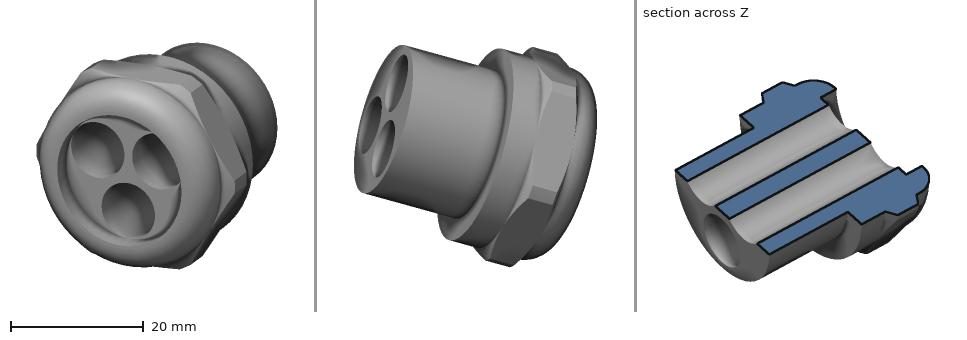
import cadquery as cq
import math

corner_diameter = 33.5
across_flats = 30.0
tail_diameter = 23.2
tail_length = 15.0
collar_length = 4.52
hex_length = 6.0
dome_length = 4.5
dome_radius = 4.0
corner_chamfer_angle = 30.0
recess_diameter = 21.0
recess_depth = 3.0
hole_diameter = 9.0
hole_offset = 5.95
hole_count = 3
first_hole_angle = -90.0

hex_front = dome_length
hex_back = hex_front + hex_length
collar_back = hex_back + collar_length
total_length = collar_back + tail_length


def cylinder(diameter, start, end, x=0, z=0):
    """Cylinder along Y between two places."""
    plane = cq.Workplane("XZ", origin=(x, start, z))
    return plane.circle(diameter / 2).extrude(start - end)


def hexagon_nut():
    """Hexagon with corners along X, trimmed round and chamfered at both ends."""
    corner_to_corner = across_flats / math.cos(math.radians(30))
    prism = (
        cq.Workplane("XZ", origin=(0, hex_front, 0))
        .polygon(6, corner_to_corner)
        .extrude(-hex_length)
    )
    flat_radius = across_flats / 2
    corner_radius = corner_diameter / 2
    chamfer_length = (corner_radius - flat_radius) * math.tan(math.radians(corner_chamfer_angle))
    envelope = (
        cq.Workplane("XY")
        .moveTo(0, hex_front)
        .lineTo(flat_radius, hex_front)
        .lineTo(corner_radius, hex_front + chamfer_length)
        .lineTo(corner_radius, hex_back - chamfer_length)
        .lineTo(flat_radius, hex_back)
        .lineTo(0, hex_back)
        .close()
        .revolve(360, (0, 0, 0), (0, 1, 0))
    )
    return prism.intersect(envelope)


def domed_front():
    """Round front with a rounded outer rim."""
    return cylinder(across_flats, 0, hex_front).faces("<Y").edges().fillet(dome_radius)


body = domed_front().union(hexagon_nut())
body = body.union(cylinder(across_flats, hex_back, collar_back))
body = body.union(cylinder(tail_diameter, collar_back, total_length))

body = body.cut(cylinder(recess_diameter, 0, recess_depth))

for index in range(hole_count):
    angle = math.radians(first_hole_angle + index * 360 / hole_count)
    hole_x = hole_offset * math.cos(angle)
    hole_z = hole_offset * math.sin(angle)
    body = body.cut(cylinder(hole_diameter, 0, total_length, hole_x, hole_z))

result = body